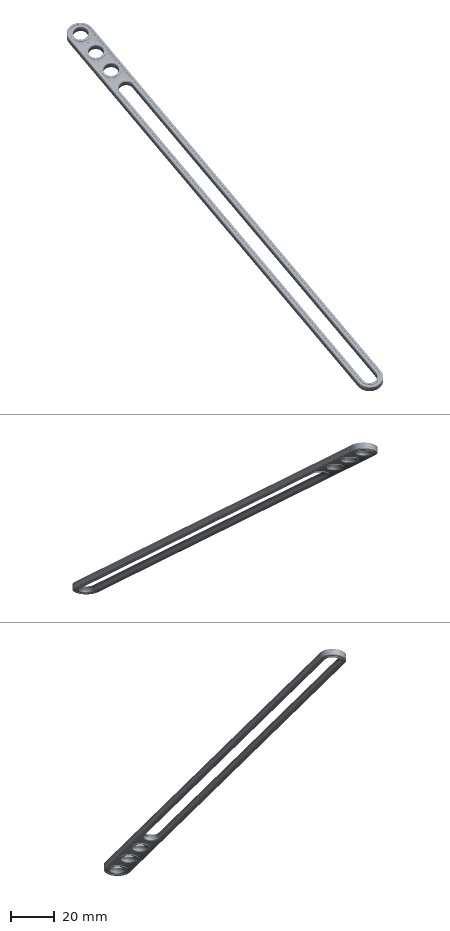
import cadquery as cq

length = 250.0
width = 12.5
thickness = width / 4
hole_pitch = 12.5
hole_count = 3
opening_width = 7.0
collar_width = 9.2
edge_chamfer = 0.3
pocket_depth = 0.2
rib_width = 0.12

rail_width = (collar_width - opening_width) / 2
bottom_z = -thickness / 2
first_hole_x = -(length - width) / 2
slot_start_x = first_hole_x + hole_count * hole_pitch
slot_end_x = -first_hole_x
rib_x = first_hole_x + hole_pitch / 2
hole_xs = [first_hole_x + index * hole_pitch for index in range(hole_count)]


def disc(center_x, across, base_z, height):
    """Round solid standing on base_z."""
    return cq.Workplane("XY", origin=(center_x, 0, base_z)).circle(across / 2).extrude(height)


def rounded_bar(start_x, end_x, across, base_z, height):
    """Solid with a full-round end centred on each of start_x and end_x."""
    middle = cq.Workplane("XY", origin=((start_x + end_x) / 2, 0, base_z))
    return middle.slot2D(end_x - start_x + across, across).extrude(height)


def openings(across, base_z, height):
    """The row of round holes and the long slot, as solid shapes."""
    shapes = rounded_bar(slot_start_x, slot_end_x, across, base_z, height)
    for hole_x in hole_xs:
        shapes = shapes.union(disc(hole_x, across, base_z, height))
    return shapes


def perforated_bar():
    """Round-ended bar with its outer and inner edges chamfered on both faces."""
    bar = rounded_bar(first_hole_x, slot_end_x, width, bottom_z, thickness)
    bar = bar.faces("<Z or >Z").edges().chamfer(edge_chamfer)
    bar = bar.cut(openings(opening_width, bottom_z, thickness))
    face_wires = [wire for face in bar.faces("<Z or >Z").vals() for wire in face.innerWires()]
    bore_edges = [edge for wire in face_wires for edge in wire.Edges()]
    return bar.newObject(bore_edges).chamfer(edge_chamfer)


def pocket(base_z):
    """Shallow recess inside the rails that leaves the collars and a thin rib standing."""
    recess = rounded_bar(first_hole_x, slot_end_x, width - 2 * rail_width, base_z, pocket_depth)
    rib = cq.Workplane("XY", origin=(rib_x, 0, base_z)).rect(hole_pitch, rib_width).extrude(pocket_depth)
    return recess.cut(openings(collar_width, base_z, pocket_depth)).cut(rib)


result = perforated_bar()
for pocket_base_z in (bottom_z, -bottom_z - pocket_depth):
    result = result.cut(pocket(pocket_base_z))